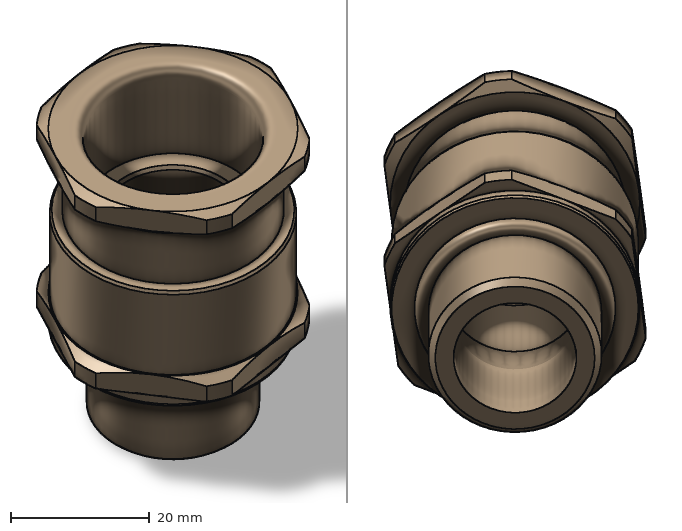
import cadquery as cq
import math

THREAD_CHAMFER = 1.0
GASKET_BOTTOM = 14.6
FLANGE_BOTTOM = 16.0
BODY_HEX_BOTTOM = 18.0
BODY_HEX_TOP = 22.0
BODY_TOP = 38.0
SCREW_NECK_BOTTOM = 47.75
SCREW_HEX_BOTTOM = 49.75
SCREW_TOP = 53.75

ACROSS_FLATS = 36.0
CORNER_DIAMETER = 39.5
BODY_HEX_BEVEL_ANGLE = 30.0
SCREW_HEX_BEVEL_ANGLE = 20.0

THREAD_RADIUS = 12.5
COLLAR_RADIUS = 17.8
COLLAR_CHAMFER_HEIGHT = 0.5
COLLAR_CHAMFER_WIDTH = 0.3
FLANGE_CHAMFER_HEIGHT = 0.5
FLANGE_CHAMFER_WIDTH = 0.2
PASSAGE_RADIUS = 8.85
TAPER_LENGTH = 8.0

GASKET_RADIUS = 14.5
GASKET_ROUND = 1.35

SCREW_THREAD_RADIUS = 16.0
SCREW_NECK_RADIUS = 15.0
SCREW_BOTTOM = BODY_HEX_TOP
MOUTH_ROUND = 2.0
BORE_RADIUS = 13.0
BORE_FLOOR = 37.35
SCREW_HOLE_RADIUS = 10.0
SCREW_HOLE_CHAMFER = 0.5

FLAT_RADIUS = ACROSS_FLATS / 2
CORNER_RADIUS = CORNER_DIAMETER / 2


def disc(radius, bottom, top):
    """Cylinder about the Z axis between two heights."""
    return cq.Workplane("XY").workplane(offset=bottom).circle(radius).extrude(top - bottom)


def hexagon(bottom, top, bevel_angle, bevel_bottom):
    """Hexagon with corners on the Y axis, rounded to the corner diameter and bevelled."""
    sharp_diameter = ACROSS_FLATS / math.cos(math.radians(30))
    prism = (
        cq.Workplane("XY").workplane(offset=bottom)
        .polygon(6, sharp_diameter).extrude(top - bottom)
        .rotate((0, 0, 0), (0, 0, 1), 30)
    )
    bevel_width = CORNER_RADIUS - FLAT_RADIUS
    bevel_height = bevel_width * math.tan(math.radians(bevel_angle))
    envelope = disc(CORNER_RADIUS, bottom, top).faces(">Z").chamfer(bevel_height, bevel_width)
    if bevel_bottom:
        envelope = envelope.faces("<Z").chamfer(bevel_height, bevel_width)
    return prism.intersect(envelope)


def make_body():
    """Threaded stub, flange, hexagon and collar, bored to take the screw."""
    stub = disc(THREAD_RADIUS, 0, FLANGE_BOTTOM).faces("<Z").chamfer(THREAD_CHAMFER)
    flange = (
        disc(FLAT_RADIUS, FLANGE_BOTTOM, BODY_HEX_BOTTOM)
        .faces("<Z").chamfer(FLANGE_CHAMFER_HEIGHT, FLANGE_CHAMFER_WIDTH)
    )
    wrench_hex = hexagon(BODY_HEX_BOTTOM, BODY_HEX_TOP, BODY_HEX_BEVEL_ANGLE, bevel_bottom=False)
    collar = (
        disc(COLLAR_RADIUS, BODY_HEX_TOP, BODY_TOP)
        .faces(">Z").chamfer(COLLAR_CHAMFER_HEIGHT, COLLAR_CHAMFER_WIDTH)
    )
    socket = disc(SCREW_THREAD_RADIUS, SCREW_BOTTOM, BODY_TOP)
    passage = disc(PASSAGE_RADIUS, 0, SCREW_BOTTOM)
    taper = cq.Workplane(
        cq.Solid.makeCone(
            PASSAGE_RADIUS, SCREW_HOLE_RADIUS, TAPER_LENGTH,
            pnt=cq.Vector(0, 0, SCREW_BOTTOM - TAPER_LENGTH),
        )
    )
    outside = stub.union(flange).union(wrench_hex).union(collar)
    return outside.cut(socket).cut(passage).cut(taper)


def make_gasket():
    """Flat ring around the stub, rounded on its lower outer edge."""
    ring = disc(GASKET_RADIUS, GASKET_BOTTOM, FLANGE_BOTTOM).faces("<Z").edges().fillet(GASKET_ROUND)
    return ring.cut(disc(THREAD_RADIUS, GASKET_BOTTOM, FLANGE_BOTTOM))


def make_screw():
    """Hollow clamping screw with a hexagonal head and a rounded mouth."""
    head = hexagon(SCREW_HEX_BOTTOM, SCREW_TOP, SCREW_HEX_BEVEL_ANGLE, bevel_bottom=True)
    neck = disc(SCREW_NECK_RADIUS, SCREW_NECK_BOTTOM, SCREW_HEX_BOTTOM)
    shank = disc(SCREW_THREAD_RADIUS, SCREW_BOTTOM, SCREW_NECK_BOTTOM)
    hole_chamfer_bottom = BORE_FLOOR - SCREW_HOLE_CHAMFER
    mouth_bottom = SCREW_TOP - MOUTH_ROUND
    mouth_radius = BORE_RADIUS + MOUTH_ROUND
    arc_middle = (
        mouth_radius - MOUTH_ROUND * math.cos(math.radians(45)),
        mouth_bottom + MOUTH_ROUND * math.sin(math.radians(45)),
    )
    opening = (
        cq.Workplane("XZ")
        .moveTo(0, SCREW_BOTTOM)
        .lineTo(SCREW_HOLE_RADIUS, SCREW_BOTTOM)
        .lineTo(SCREW_HOLE_RADIUS, hole_chamfer_bottom)
        .lineTo(SCREW_HOLE_RADIUS + SCREW_HOLE_CHAMFER, BORE_FLOOR)
        .lineTo(BORE_RADIUS, BORE_FLOOR)
        .lineTo(BORE_RADIUS, mouth_bottom)
        .threePointArc(arc_middle, (mouth_radius, SCREW_TOP))
        .lineTo(0, SCREW_TOP)
        .close()
        .revolve(360, (0, 0, 0), (0, 1, 0))
    )
    return head.union(neck).union(shank).cut(opening)


body = make_body()
gasket = make_gasket()
screw = make_screw()

result = cq.Compound.makeCompound([body.val(), gasket.val(), screw.val()])